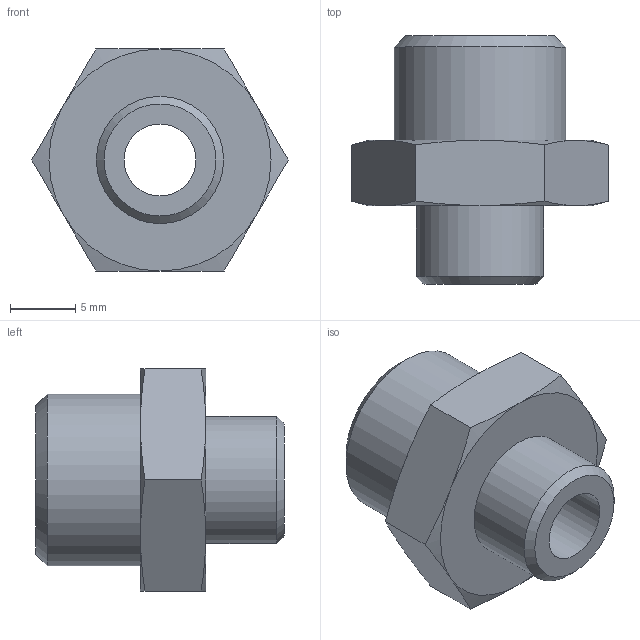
import math

import cadquery as cq

ACROSS_FLATS = 17.0
ACROSS_CORNERS = ACROSS_FLATS / math.cos(math.radians(30))
HEX_LENGTH = 5.0
HEX_CHAMFER_ANGLE = 15.0

SMALL_DIAMETER = 9.73
SMALL_END_DIAMETER = 8.57
SMALL_LENGTH = 6.0
LARGE_DIAMETER = 13.16
LARGE_END_DIAMETER = 11.45
LARGE_LENGTH = 8.0

BORE_DIAMETER = 5.5

HEX_FRONT = 0.0
HEX_BACK = HEX_FRONT + HEX_LENGTH
FRONT_END = HEX_FRONT - SMALL_LENGTH
BACK_END = HEX_BACK + LARGE_LENGTH


def plane_at(y):
    """Sketch plane facing +Y at the given position along the axis."""
    return cq.Workplane(cq.Plane(origin=(0, y, 0), xDir=(1, 0, 0), normal=(0, 1, 0)))


def revolve_profile(points):
    """Revolve a closed (radius, y) outline about the Y axis."""
    return cq.Workplane("XY").polyline(points).close().revolve(360, (0, 0, 0), (0, 1, 0))


def hex_collar():
    """Hexagon with corners on the X axis, both faces chamfered by a shallow cone."""
    prism = plane_at(HEX_FRONT).polygon(6, ACROSS_CORNERS).extrude(HEX_LENGTH)
    face_radius = ACROSS_FLATS / 2
    corner_radius = ACROSS_CORNERS / 2
    drop = (corner_radius - face_radius) * math.tan(math.radians(HEX_CHAMFER_ANGLE))
    envelope = revolve_profile([
        (0, HEX_FRONT),
        (face_radius, HEX_FRONT),
        (corner_radius, HEX_FRONT + drop),
        (corner_radius, HEX_BACK - drop),
        (face_radius, HEX_BACK),
        (0, HEX_BACK),
    ])
    return prism.intersect(envelope)


def spigot(y_root, length, direction, diameter, end_diameter):
    """Cylinder from the collar face to a 45 degree chamfered free end."""
    chamfer = (diameter - end_diameter) / 2
    y_end = y_root + direction * length
    return revolve_profile([
        (0, y_root),
        (diameter / 2, y_root),
        (diameter / 2, y_end - direction * chamfer),
        (end_diameter / 2, y_end),
        (0, y_end),
    ])


def bore():
    """Straight through bore along the full length."""
    return plane_at(FRONT_END).circle(BORE_DIAMETER / 2).extrude(BACK_END - FRONT_END)


small_spigot = spigot(HEX_FRONT, SMALL_LENGTH, -1, SMALL_DIAMETER, SMALL_END_DIAMETER)
large_spigot = spigot(HEX_BACK, LARGE_LENGTH, 1, LARGE_DIAMETER, LARGE_END_DIAMETER)

result = hex_collar().union(small_spigot).union(large_spigot).cut(bore())